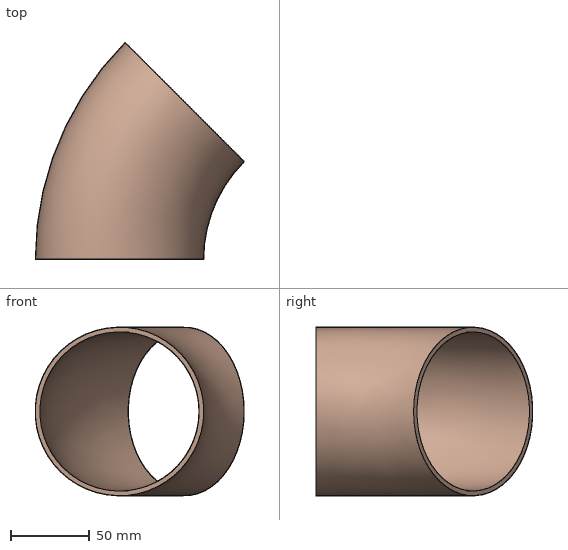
import cadquery as cq
import math

overall_length = 139.0
outer_diameter = 108.0
wall_thickness = 3.0
bend_angle = 45.0

outer_radius = outer_diameter / 2
inner_radius = outer_radius - wall_thickness

bend_radius = overall_length / math.sin(math.radians(bend_angle)) - outer_radius


def make_elbow():
    """Sweep the pipe ring from the inlet face at Y = 0 around a bend axis parallel to Z."""
    ring = cq.Workplane("XZ").circle(outer_radius).circle(inner_radius)
    bend_axis_start = (bend_radius, 0)
    bend_axis_end = (bend_radius, -1)
    return ring.revolve(bend_angle, bend_axis_start, bend_axis_end)


result = make_elbow()